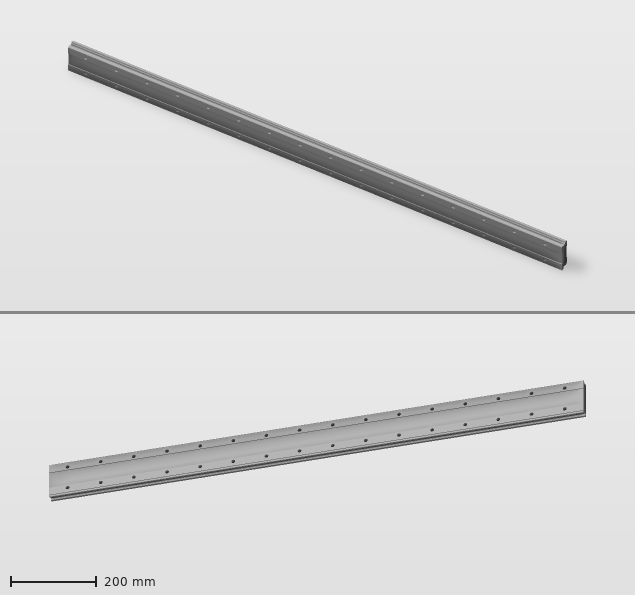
import cadquery as cq

length = 1290.0
thickness = 25.0
height = 90.0

web_thickness = 20.0
web_height = 43.0

shoulder_drop = 3.2
outer_shoulder_width = 1.9
tongue_base_width = 5.8
tongue_top_width = 3.2
inner_shoulder_width = 3.2

groove_drop = 5.0
groove_width = 6.0
lip_chamfer = 1.0

holes_per_row = 16
hole_pitch = 80.0
hole_row_spacing = 59.0
hole_diameter = 9.0

half_thickness = thickness / 2
half_height = height / 2
half_web_thickness = web_thickness / 2
half_web_height = web_height / 2


def upper_edge_points():
    """Outline of the top narrow edge, as (y, z) from the +Y face to the -Y face."""
    shoulder_z = half_height - shoulder_drop
    groove_z = half_height - groove_drop
    flank_run = (tongue_base_width - tongue_top_width) / 2

    tongue_outer_y = half_thickness - outer_shoulder_width
    tongue_inner_y = tongue_outer_y - tongue_base_width
    groove_outer_y = tongue_inner_y - inner_shoulder_width
    groove_inner_y = groove_outer_y - groove_width

    return [
        (half_thickness, shoulder_z),
        (tongue_outer_y, shoulder_z),
        (tongue_outer_y - flank_run, half_height),
        (tongue_inner_y + flank_run, half_height),
        (tongue_inner_y, shoulder_z),
        (groove_outer_y, shoulder_z),
        (groove_outer_y, groove_z),
        (groove_inner_y, groove_z),
        (groove_inner_y, half_height),
        (-half_thickness + lip_chamfer, half_height),
        (-half_thickness, half_height - lip_chamfer),
    ]


def recess_points(side):
    """Outline of the recess on one broad face, from top to bottom; side is +1 or -1 in Y."""
    return [
        (side * half_thickness, half_web_height),
        (side * half_web_thickness, half_web_height),
        (side * half_web_thickness, -half_web_height),
        (side * half_thickness, -half_web_height),
    ]


def bar():
    upper_edge = upper_edge_points()
    lower_edge = [(y, -z) for y, z in reversed(upper_edge)]
    front_recess = recess_points(-1)
    back_recess = list(reversed(recess_points(1)))
    outline = upper_edge + front_recess + lower_edge + back_recess
    return cq.Workplane("YZ").polyline(outline).close().extrude(length / 2, both=True)


def flange_holes():
    return (
        cq.Workplane("XZ")
        .rarray(hole_pitch, hole_row_spacing, holes_per_row, 2)
        .circle(hole_diameter / 2)
        .extrude(half_thickness, both=True)
    )


result = bar().cut(flange_holes())